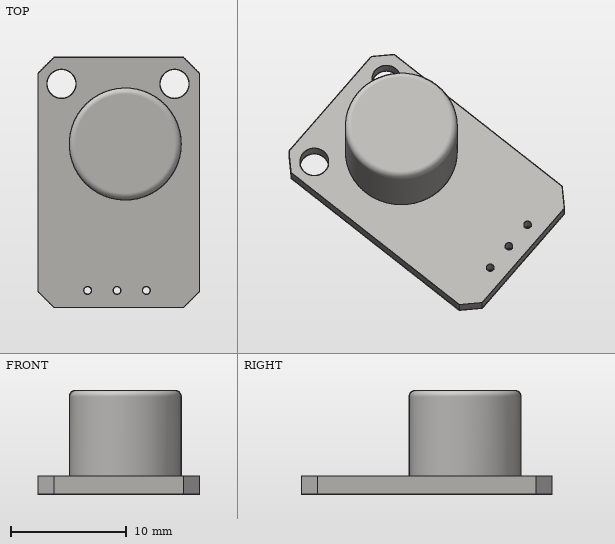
import cadquery as cq

board_width = 14.0
board_length = 21.7
board_thickness = 1.6
corner_chamfer = 1.4

total_height = 9.0
can_diameter = 9.7
can_center = (0.56, 3.32)
can_edge_radius = 0.55

mount_diameter = 2.5
mount_spacing = 9.79
mount_mid_x = -0.07
mount_y = 8.53

pin_count = 3
pin_diameter = 0.65
pin_pitch = 2.54
pin_mid_x = -0.15
pin_y = -9.35


def row_points(count, pitch, mid_x, y):
    """Centres of evenly spaced holes along X."""
    first_x = mid_x - pitch * (count - 1) / 2
    return [(first_x + i * pitch, y) for i in range(count)]


def make_board():
    """Rectangular plate with chamfered corners and its through holes."""
    plate = (
        cq.Workplane("XY")
        .box(board_width, board_length, board_thickness, centered=(True, True, False))
        .edges("|Z")
        .chamfer(corner_chamfer)
    )
    holes = (
        cq.Workplane("XY")
        .pushPoints(row_points(2, mount_spacing, mount_mid_x, mount_y))
        .circle(mount_diameter / 2)
        .extrude(board_thickness)
        .pushPoints(row_points(pin_count, pin_pitch, pin_mid_x, pin_y))
        .circle(pin_diameter / 2)
        .extrude(board_thickness)
    )
    return plate.cut(holes)


def make_can():
    """Solid cylinder with a rounded top edge."""
    return (
        cq.Workplane("XY", origin=(*can_center, board_thickness))
        .circle(can_diameter / 2)
        .extrude(total_height - board_thickness)
        .faces(">Z")
        .edges()
        .fillet(can_edge_radius)
    )


result = make_board().union(make_can())